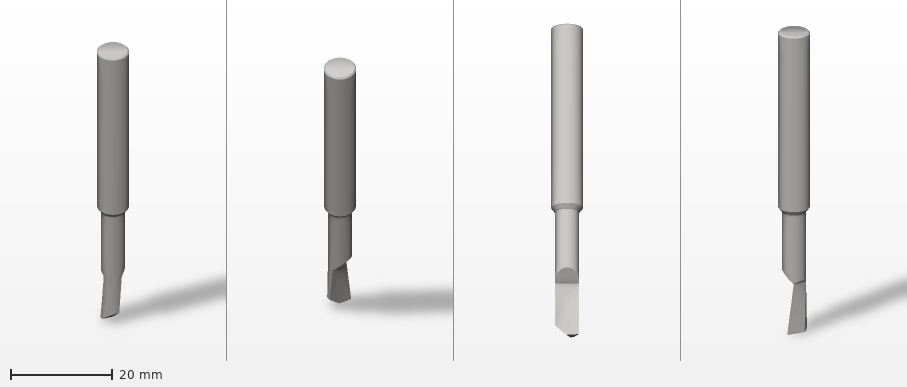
import cadquery as cq
import math

total_length = 63.5

shank_radius = 3.2
shank_end_chamfer = 0.3
shank_bottom = 26.4
shoulder_height = 1.0
neck_radius = 2.4
blade_top = 10.8

root_edge = (-2.05, -1.15)
root_heel_x = 0.7
root_back_y = 0.9
root_heel = (root_heel_x, -math.sqrt(neck_radius**2 - root_heel_x**2))
root_back = (math.sqrt(neck_radius**2 - root_back_y**2), root_back_y)

tip_radius = 2.6
tip_heel_x = -0.3
tip_edge = (-tip_radius, 0.0)
tip_heel = (tip_heel_x, -math.sqrt(tip_radius**2 - tip_heel_x**2))
tip_back = (tip_radius, 0.0)

end_flat_x = 0.2
end_flat_rise = 0.2
back_off_top = 2.5
relief_angle = 5.0


def bar():
    """Turned shank, conical shoulder and neck."""
    shoulder_bottom = shank_bottom - shoulder_height
    profile = (
        cq.Workplane("XZ")
        .moveTo(0, blade_top)
        .lineTo(neck_radius, blade_top)
        .lineTo(neck_radius, shoulder_bottom)
        .lineTo(shank_radius, shank_bottom)
        .lineTo(shank_radius, total_length - shank_end_chamfer)
        .lineTo(shank_radius - shank_end_chamfer, total_length)
        .lineTo(0, total_length)
        .close()
    )
    return profile.revolve(360, (0, 0, 0), (0, 1, 0))


def runout(start, end):
    """Wedge that trims the neck at 45 degrees, outward to the left of start-to-end."""
    along_x = end[0] - start[0]
    along_y = end[1] - start[1]
    reach = 3 * neck_radius
    plane = cq.Plane(
        origin=(start[0], start[1], blade_top),
        xDir=(-along_y, along_x, 0),
        normal=(along_x, along_y, 0),
    )
    return (
        cq.Workplane(plane)
        .polyline([(0, 0), (reach, 0), (reach, reach)])
        .close()
        .extrude(2 * reach, both=True)
    )


def section(height, radius, edge, heel, back):
    """Closed blade section: flank chord, round back and rake chord."""
    heel_angle = math.atan2(heel[1], heel[0])
    back_angle = math.atan2(back[1], back[0])
    middle_angle = (heel_angle + back_angle) / 2
    middle = (radius * math.cos(middle_angle), radius * math.sin(middle_angle))
    outline = (
        cq.Workplane("XY", origin=(0, 0, height))
        .moveTo(*edge)
        .lineTo(*heel)
        .threePointArc(middle, back)
        .close()
    )
    return outline.val()


def blade():
    """Twisted blade ruled between the tip and root sections."""
    tip = section(0, tip_radius, tip_edge, tip_heel, tip_back)
    root = section(blade_top, neck_radius, root_edge, root_heel, root_back)
    return cq.Workplane(cq.Solid.makeLoft([tip, root], True))


def prism_below(start, end):
    """Material below the XZ line through start and end, across the whole blade width."""
    slope = (end[1] - start[1]) / (end[0] - start[0])
    reach = 2 * tip_radius
    low_z = start[1] - slope * (start[0] + reach)
    high_z = start[1] + slope * (reach - start[0])
    floor_z = low_z - reach
    return (
        cq.Workplane("XZ")
        .polyline([(-reach, low_z), (reach, high_z), (reach, floor_z), (-reach, floor_z)])
        .close()
        .extrude(reach, both=True)
    )


def relieved_blade():
    """Blade with its end face sloped toward the heel and its far corner backed off."""
    flat_end = (end_flat_x, end_flat_rise)
    end_face = prism_below((-tip_radius, 0), flat_end).rotate((0, 0, 0), (1, 0, 0), -relief_angle)
    back_off = prism_below(flat_end, (tip_radius, back_off_top))
    return blade().cut(end_face).cut(back_off)


trimmed_bar = bar().cut(runout(root_edge, root_back)).cut(runout(root_heel, root_edge))
result = trimmed_bar.union(relieved_blade())